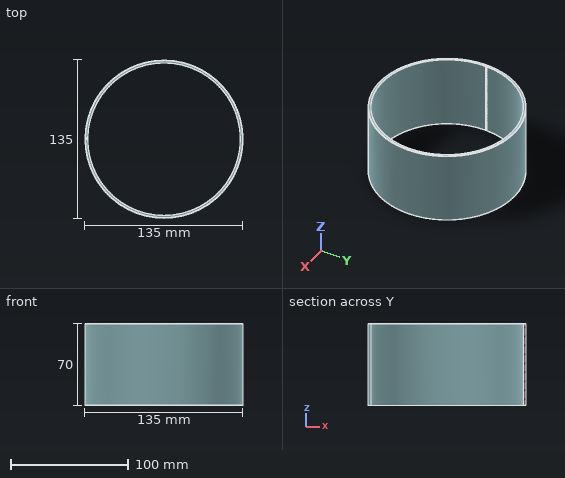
import cadquery as cq

outer_diameter = 135.0
height = 70.0
inner_diameter = 130.0
slit_width = 1.03

outer_chamfer = 0.5
inner_chamfer = 0.2

outer_radius = outer_diameter / 2
inner_radius = inner_diameter / 2


def make_sleeve():
    """Revolve the wall section, chamfered at all four corners."""
    outer_flat = outer_radius - outer_chamfer
    inner_flat = inner_radius + inner_chamfer
    section = [
        (inner_flat, 0),
        (outer_flat, 0),
        (outer_radius, outer_chamfer),
        (outer_radius, height - outer_chamfer),
        (outer_flat, height),
        (inner_flat, height),
        (inner_radius, height - inner_chamfer),
        (inner_radius, inner_chamfer),
    ]
    return cq.Workplane("XZ").polyline(section).close().revolve(360, (0, 0), (0, 1))


def make_slit():
    """Full-height cutter through the -X wall, with one side on the Y = 0 plane."""
    cutter = cq.Workplane("XY").box(outer_radius, slit_width, height, centered=False)
    return cutter.translate((-outer_radius, 0, 0))


result = make_sleeve().cut(make_slit())